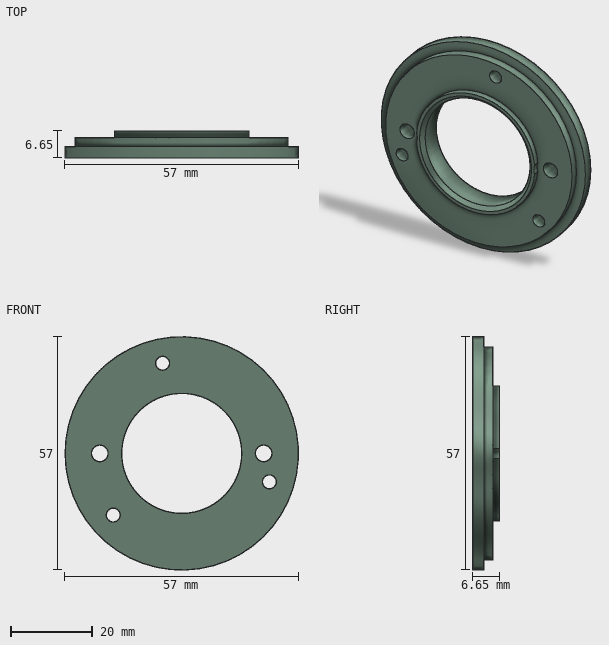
import cadquery as cq

FLANGE_DIAMETER = 57.0
FLANGE_THICKNESS = 2.75
STEP_DIAMETER = 52.0
STEP_THICKNESS = 2.25
HUB_DIAMETER = 33.0
HUB_THICKNESS = 1.65
BORE_DIAMETER = 29.25
BORE_CHAMFER = 1.0

SCREW_HOLE_DIAMETER = 4.0
SCREW_CIRCLE_RADIUS = 20.0
SCREW_HOLE_COUNT = 2
SCREW_START_ANGLE = 0.0
HEAD_CLEARANCE_DIAMETER = 7.5

SMALL_HOLE_DIAMETER = 3.33
SMALL_CIRCLE_RADIUS = 22.5
SMALL_HOLE_COUNT = 3
SMALL_START_ANGLE = 102.0

HUB_SEAT_Y = FLANGE_THICKNESS + STEP_THICKNESS
TOTAL_THICKNESS = HUB_SEAT_Y + HUB_THICKNESS
FULL_TURN = 360.0


def plane_at(y):
    """Workplane facing +Y at depth y, with local x along -X and local y along +Z."""
    return cq.Workplane(cq.Plane(origin=(0, y, 0), xDir=(-1, 0, 0), normal=(0, 1, 0)))


def disc(diameter, y, thickness):
    return plane_at(y).circle(diameter / 2).extrude(thickness)


def cylinder_ring(diameter, circle_radius, count, start_angle, y, length):
    """Equally spaced cylinders along Y; angles run from +X towards +Z."""
    local_start = FULL_TURN / 2 - start_angle
    return (
        plane_at(y)
        .polarArray(circle_radius, local_start, FULL_TURN, count)
        .circle(diameter / 2)
        .extrude(length)
    )


def stepped_body():
    flange = disc(FLANGE_DIAMETER, 0, FLANGE_THICKNESS)
    step = disc(STEP_DIAMETER, FLANGE_THICKNESS, STEP_THICKNESS)
    hub = disc(HUB_DIAMETER, HUB_SEAT_Y, HUB_THICKNESS)
    return flange.union(step).union(hub)


def chamfered_bore():
    """Through bore that widens into a cone over its last stretch at the hub face."""
    bore_radius = BORE_DIAMETER / 2
    cone_start_y = TOTAL_THICKNESS - BORE_CHAMFER
    return (
        cq.Workplane("XY")
        .moveTo(0, 0)
        .lineTo(bore_radius, 0)
        .lineTo(bore_radius, cone_start_y)
        .lineTo(bore_radius + BORE_CHAMFER, TOTAL_THICKNESS)
        .lineTo(0, TOTAL_THICKNESS)
        .close()
        .revolve(FULL_TURN, (0, 0, 0), (0, 1, 0))
    )


screw_holes = cylinder_ring(
    SCREW_HOLE_DIAMETER, SCREW_CIRCLE_RADIUS, SCREW_HOLE_COUNT, SCREW_START_ANGLE, 0, TOTAL_THICKNESS
)
head_clearances = cylinder_ring(
    HEAD_CLEARANCE_DIAMETER,
    SCREW_CIRCLE_RADIUS,
    SCREW_HOLE_COUNT,
    SCREW_START_ANGLE,
    HUB_SEAT_Y,
    HUB_THICKNESS,
)
small_holes = cylinder_ring(
    SMALL_HOLE_DIAMETER, SMALL_CIRCLE_RADIUS, SMALL_HOLE_COUNT, SMALL_START_ANGLE, 0, TOTAL_THICKNESS
)

result = stepped_body().cut(chamfered_bore()).cut(screw_holes).cut(head_clearances).cut(small_holes)